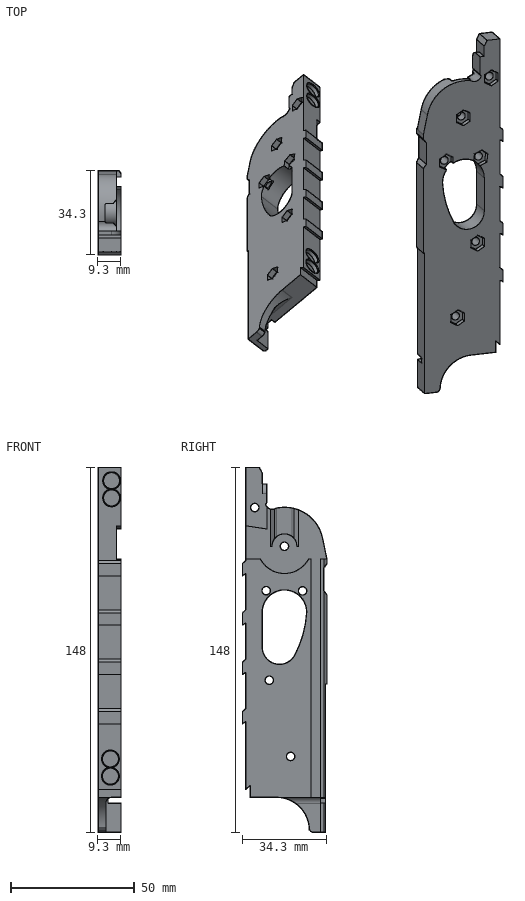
import cadquery as cq
import math

thickness = 9.3
height = 148.0
depth = 33.01
rib_height = 1.3
cut_margin = 5.0

pivot_y = 15.75
pivot_z = 116.0
shoulder_radius = 15.85
shoulder_front_angle = 102
shoulder_middle_angle = 60
shoulder_back_angle = 11

tower_depth = 6.8
tower_bevel_y = 1.23
tower_bevel_z = 2.34
step_depth = 8.6
step_z = 141.3
step_round = 3.9
corner_relief_top_z = 133.7
corner_relief_y = 8.1
corner_relief_z = 133.0
corner_middle_y = 9.4
corner_middle_z = 131.4

back_corner_top_z = 110.75
back_corner_z = 108.9
back_groove_depth = 1.25
back_groove_top_z = 107.2
back_groove_bottom_z = 98.0
back_lower_z = 96.3
back_inset = 0.56
back_inset_z = 60.1

foot_front_y = 25.8
foot_round = 1.7
arch_radius = 13.2
body_bottom_z = 14.2
lip_depth = 1.83
lip_root_z = 19.0
lip_tip_z = 17.3

rib_count = 4
rib_pitch = 20.0
first_rib_top_z = 110.2
rib_length = 6.2
rib_top_slope = 1.2
rib_undercut = 0.8

screw_diameter = 3.3
nut_across_flats = 5.8
nut_depth = 2.5
nut_sides = 6
nut_places = [
    (3.72, 131.7, 0),
    (pivot_y, pivot_z, 0),
    (23.1, 97.9, 0),
    (8.34, 98.0, 7),
    (9.6, 61.7, 0),
    (18.25, 30.8, 0),
]

window_top_radius = 8.97
window_top_z = 89.3
window_bottom_radius = 7.13
window_bottom_z = 75.3
window_side_bow = (23.5, 81.3)
window_side_end = (19.8, 71.7)

blind_diameter = 6.5
blind_rim_chamfer = 0.35
blind_depth = 2.0
blind_pitch = 7.0
blind_pairs = [(5.4, 139.1), (4.95, 26.3)]

recess_x = 7.5
recess_top_front_z = 124.3
recess_top_back_z = 123.0
recess_bottom_z = 110.8
rim_width = 2.65
channel_width = 3.9
recess_round_radius = 11.05
back_bevel_x = 0.9
back_bevel_y = 1.3

boss_diameter = 10.05
slot_floor_x = 2.7
slot_width = 7.9
slot_mouth_width = 11.2
slot_mouth_depth = 1.4
slot_corner_round = 0.8

foot_relief_x = 3.1
foot_relief_fillet = 2.4
foot_gap_height = 2.3
foot_gap_x = 4.0


def outline_prism(sketch_points, x_start, x_end):
    """Closed polygon of (y, z) points, extruded along X."""
    return cq.Workplane("YZ", origin=(x_start, 0, 0)).polyline(sketch_points).close().extrude(x_end - x_start)


def box(x_range, y_range, z_range):
    """Box given by its limits on each axis."""
    sizes = [limits[1] - limits[0] for limits in (x_range, y_range, z_range)]
    corner = (x_range[0], y_range[0], z_range[0])
    return cq.Workplane("XY", origin=corner).box(*sizes, centered=False)


def shoulder_point(angle):
    """Point of the shoulder arc, angle in degrees from +Y towards +Z."""
    turn = math.radians(angle)
    return (pivot_y + shoulder_radius * math.cos(turn), pivot_z + shoulder_radius * math.sin(turn))


def make_plate():
    arch_y = foot_front_y - arch_radius
    arch_z = body_bottom_z - arch_radius
    diagonal = math.sqrt(0.5)
    lower_back_y = depth - back_inset
    return (
        cq.Workplane("YZ")
        .moveTo(0, lip_tip_z)
        .lineTo(0, height)
        .lineTo(tower_depth - tower_bevel_y, height)
        .lineTo(tower_depth, height - tower_bevel_z)
        .lineTo(tower_depth, step_z)
        .lineTo(step_depth, step_z)
        .lineTo(step_depth, corner_relief_top_z)
        .lineTo(corner_relief_y, corner_relief_z)
        .threePointArc((corner_middle_y, corner_middle_z), shoulder_point(shoulder_front_angle))
        .threePointArc(shoulder_point(shoulder_middle_angle), shoulder_point(shoulder_back_angle))
        .lineTo(depth, back_corner_top_z)
        .lineTo(depth, back_corner_z)
        .lineTo(depth - back_groove_depth, back_groove_top_z)
        .lineTo(depth - back_groove_depth, back_groove_bottom_z)
        .lineTo(depth, back_lower_z)
        .lineTo(depth, back_inset_z)
        .lineTo(lower_back_y, back_inset_z)
        .lineTo(lower_back_y, 0)
        .lineTo(foot_front_y + foot_round, 0)
        .threePointArc(
            (foot_front_y + foot_round * (1 - diagonal), foot_round * (1 - diagonal)),
            (foot_front_y, foot_round),
        )
        .lineTo(foot_front_y, arch_z)
        .threePointArc(
            (arch_y + arch_radius * diagonal, arch_z + arch_radius * diagonal),
            (arch_y, body_bottom_z),
        )
        .lineTo(lip_depth, body_bottom_z)
        .lineTo(lip_depth, lip_root_z)
        .close()
        .extrude(thickness)
    )


def make_rib(top_z):
    bottom_z = top_z - rib_length
    return outline_prism(
        [
            (0, top_z),
            (-rib_height, top_z - rib_top_slope),
            (-rib_height, bottom_z),
            (0, bottom_z + rib_undercut),
        ],
        0,
        thickness,
    )


def make_window():
    front_y = pivot_y - window_top_radius
    bottom_y = front_y + window_bottom_radius
    return (
        cq.Workplane("YZ")
        .moveTo(front_y, window_bottom_z)
        .lineTo(front_y, window_top_z)
        .threePointArc((pivot_y, window_top_z + window_top_radius), (pivot_y + window_top_radius, window_top_z))
        .threePointArc(window_side_bow, window_side_end)
        .threePointArc((bottom_y, window_bottom_z - window_bottom_radius), (front_y, window_bottom_z))
        .close()
        .extrude(thickness)
    )


def make_nut_hole(y, z, turn):
    """Screw hole through the plate with a nut pocket in the -X face; two hexagon flats face along Y."""
    center = cq.Workplane("YZ", origin=(0, y, z))
    screw = center.circle(screw_diameter / 2).extrude(thickness)
    across_corners = nut_across_flats / math.cos(math.pi / nut_sides)
    nut = center.polygon(nut_sides, across_corners).extrude(nut_depth)
    return screw.union(nut.rotate((0, y, z), (1, y, z), 180 / nut_sides + turn))


def make_blind_hole(x, z):
    rim_diameter = blind_diameter + 2 * blind_rim_chamfer
    front = cq.Workplane("XZ", origin=(x, 0, z))
    bore = front.circle(blind_diameter / 2).extrude(-blind_depth)
    rim = front.circle(rim_diameter / 2).workplane(offset=-blind_rim_chamfer).circle(blind_diameter / 2).loft()
    return bore.union(rim)


def make_face_recess():
    """Clearance in the +X face: a band with a round dip about the pivot, and a channel along the back rim."""
    x_end = thickness + cut_margin
    z_end = height + cut_margin
    channel_back = depth - rim_width
    channel_front = channel_back - channel_width
    upper = outline_prism(
        [
            (-cut_margin, recess_bottom_z),
            (-cut_margin, recess_top_front_z),
            (0, recess_top_front_z),
            (step_depth, recess_top_back_z),
            (step_depth, z_end),
            (depth + cut_margin, z_end),
            (depth + cut_margin, recess_bottom_z),
        ],
        recess_x,
        x_end,
    )
    channel = box((recess_x, x_end), (channel_front, channel_back), (-cut_margin, recess_bottom_z))
    round_disc = (
        cq.Workplane("YZ", origin=(recess_x, pivot_y, pivot_z))
        .circle(recess_round_radius)
        .extrude(x_end - recess_x)
    )
    below_band = box((recess_x, x_end), (0, depth), (0, recess_bottom_z))
    dip = round_disc.intersect(below_band)
    return upper.union(channel).union(dip)


def make_shoulder_slot():
    """Slot with a widened mouth, running down through the shoulder onto the round pivot boss."""
    half = slot_width / 2
    half_mouth = slot_mouth_width / 2
    slot = (
        cq.Workplane("XY", origin=(0, pivot_y, pivot_z))
        .moveTo(slot_floor_x, -half)
        .lineTo(recess_x - slot_mouth_depth, -half)
        .lineTo(recess_x, -half_mouth)
        .lineTo(recess_x, half_mouth)
        .lineTo(recess_x - slot_mouth_depth, half)
        .lineTo(slot_floor_x, half)
        .close()
        .extrude(shoulder_radius + cut_margin)
        .edges("|Z and <X")
        .fillet(slot_corner_round)
    )
    boss = cq.Workplane("YZ", origin=(0, pivot_y, pivot_z)).circle(boss_diameter / 2).extrude(thickness)
    return slot.cut(boss)


def make_foot_relief():
    """Leaves only the back rim of the foot on the +X side, with a gap under the body."""
    x_end = thickness + cut_margin
    front = box((foot_relief_x, x_end), (lip_depth, depth - rim_width), (-cut_margin, body_bottom_z))
    gap = box(
        (foot_gap_x, x_end),
        (lip_depth, depth + cut_margin),
        (body_bottom_z - foot_gap_height, body_bottom_z),
    )
    fillet_x = foot_relief_x + foot_relief_fillet
    fillet_z = body_bottom_z - foot_relief_fillet
    corner = box((foot_relief_x, fillet_x), (lip_depth, depth), (fillet_z, body_bottom_z))
    fillet_bore = (
        cq.Workplane("XZ", origin=(fillet_x, lip_depth, fillet_z))
        .circle(foot_relief_fillet)
        .extrude(lip_depth - depth)
    )
    return front.union(gap).cut(corner.cut(fillet_bore))


def make_back_bevel():
    return (
        cq.Workplane("XY")
        .moveTo(thickness - back_bevel_x, depth)
        .lineTo(thickness, depth - back_bevel_y)
        .lineTo(thickness, depth)
        .close()
        .extrude(height)
    )


def make_step_round():
    """Material outside the round on the +X top edge of the step."""
    diagonal = math.sqrt(0.5)
    round_x = thickness - step_round
    round_z = step_z - step_round
    return (
        cq.Workplane("XZ", origin=(0, tower_depth, 0))
        .moveTo(round_x, step_z)
        .threePointArc((round_x + step_round * diagonal, round_z + step_round * diagonal), (thickness, round_z))
        .lineTo(thickness, step_z)
        .close()
        .extrude(tower_depth - step_depth)
    )


result = make_plate()
for rib_index in range(rib_count):
    result = result.union(make_rib(first_rib_top_z - rib_index * rib_pitch))

result = result.cut(make_window())
for nut_y, nut_z, nut_turn in nut_places:
    result = result.cut(make_nut_hole(nut_y, nut_z, nut_turn))

for pair_x, pair_z in blind_pairs:
    for side in (-1, 1):
        result = result.cut(make_blind_hole(pair_x, pair_z + side * blind_pitch / 2))

result = result.cut(make_face_recess())
result = result.cut(make_shoulder_slot())
result = result.cut(make_foot_relief())
result = result.cut(make_back_bevel())
result = result.cut(make_step_round())